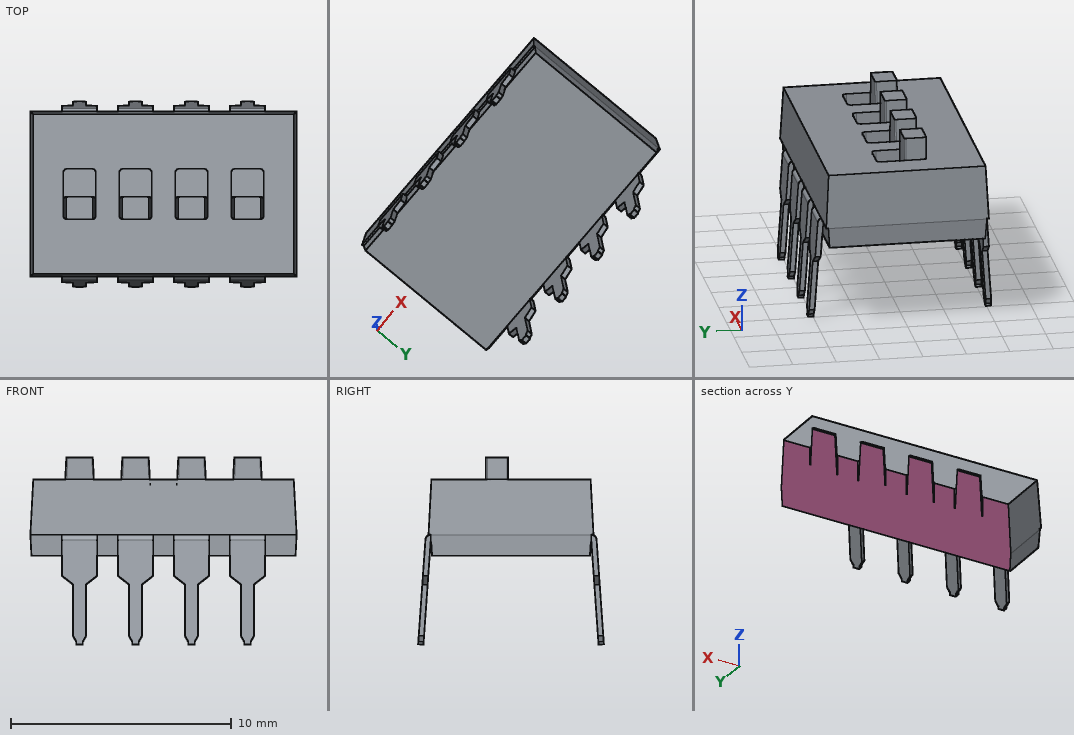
import cadquery as cq
import math


body_length = 12.09
lead_span = 8.44
lever_rise = 1.0
cover_height = 2.5
lead_drop = 4.99

cover_width = 7.5
base_height = 0.97
draft_angle = 3.0
base_width = 7.3
base_draft_angle = 4.0

pole_count = 4
pole_pitch = 2.54
pole_xs = [(i - (pole_count - 1) / 2) * pole_pitch for i in range(pole_count)]

slot_width = 1.49
slot_length = 2.3
slot_corner_radius = 0.19
slot_depth = 1.0

lever_top_width = 1.21
lever_length = 1.02
lever_corner_radius = 0.06
lever_root = 0.12

lead_thickness = 0.25
lead_angle = 4.0
lead_root = 0.48
shoulder_width = 1.6
shank_width = 0.6
tip_width = 0.3
shoulder_drop = 1.87
shank_drop = 2.26
taper_drop = 4.6
tip_drop = 4.86

slot_floor_z = cover_height - slot_depth


def make_body():
    """Cover tapering upwards and a slightly narrower base tapering downwards."""
    draft_tan = math.tan(math.radians(draft_angle))
    base_draft_tan = math.tan(math.radians(base_draft_angle))
    cover_inset = 2 * cover_height * draft_tan
    cover = (
        cq.Workplane("XY")
        .rect(body_length, cover_width)
        .workplane(offset=cover_height)
        .rect(body_length - cover_inset, cover_width - cover_inset)
        .loft(ruled=True)
    )
    base = (
        cq.Workplane("XY")
        .rect(body_length, base_width)
        .workplane(offset=-base_height)
        .rect(body_length - 2 * base_height * draft_tan, base_width - 2 * base_height * base_draft_tan)
        .loft(ruled=True)
    )
    return cover.union(base)


def make_slot(x):
    """Round-cornered pocket volume, open at the cover's top face."""
    return (
        cq.Workplane("XY", origin=(x, 0, slot_floor_z))
        .rect(slot_width, slot_length)
        .extrude(slot_depth)
        .edges("|Z")
        .fillet(slot_corner_radius)
    )


def make_lever(x):
    """Lever with drafted sides, rising from the slot floor."""
    height = lever_root + slot_depth + lever_rise
    half_top = lever_top_width / 2
    half_bottom = half_top + height * math.tan(math.radians(draft_angle))
    front_y = -slot_length / 2
    return (
        cq.Workplane("XZ", origin=(x, front_y, slot_floor_z - lever_root))
        .polyline([(-half_bottom, 0), (half_bottom, 0), (half_top, height), (-half_top, height)])
        .close()
        .extrude(-lever_length)
        .edges("not #Z")
        .fillet(lever_corner_radius)
    )


def make_lead(x):
    """Lead on the +Y side: bent, splayed strip trimmed to its stepped outline."""
    angle = math.radians(lead_angle)
    lean_y = (lead_drop - lead_thickness) * math.tan(angle)
    across_y = lead_thickness * math.cos(angle)
    across_z = lead_thickness * math.sin(angle)
    tip_inner_y = lead_span / 2 - across_y
    bend_y = tip_inner_y - lean_y
    bend_z = -lead_thickness
    half_bend = math.radians(45 + lead_angle / 2)
    bend_mid = (bend_y + lead_thickness * math.cos(half_bend), bend_z + lead_thickness * math.sin(half_bend))

    strip = (
        cq.Workplane("YZ", origin=(x - shoulder_width / 2, 0, 0))
        .moveTo(bend_y - lead_root, 0)
        .lineTo(bend_y, 0)
        .threePointArc(bend_mid, (bend_y + across_y, bend_z + across_z))
        .lineTo(lead_span / 2, across_z - lead_drop)
        .lineTo(tip_inner_y, -lead_drop)
        .lineTo(bend_y, bend_z)
        .lineTo(bend_y - lead_root, bend_z)
        .close()
        .extrude(shoulder_width)
    )
    right_side = [
        (shoulder_width / 2, 0),
        (shoulder_width / 2, -shoulder_drop),
        (shank_width / 2, -shank_drop),
        (shank_width / 2, -taper_drop),
        (tip_width / 2, -tip_drop),
        (tip_width / 2, -lead_drop),
    ]
    left_side = [(-px, pz) for px, pz in reversed(right_side)]
    outline = (
        cq.Workplane("XZ", origin=(x, 0, 0))
        .polyline(right_side + left_side)
        .close()
        .extrude(-lead_span / 2)
    )
    return strip.intersect(outline)


result = make_body()
for pole_x in pole_xs:
    lead = make_lead(pole_x)
    result = result.cut(make_slot(pole_x)).union(make_lever(pole_x))
    result = result.union(lead).union(lead.mirror("XZ"))